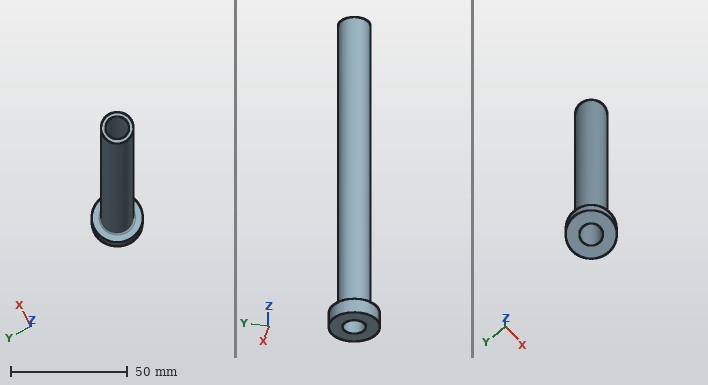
import cadquery as cq

total_height = 157.0
head_diameter = 22.0
head_height = 7.0
tube_diameter = 14.0
bore_diameter = 10.0
neck_fillet = 0.8

head_radius = head_diameter / 2
tube_radius = tube_diameter / 2
bore_radius = bore_diameter / 2


def sleeve_section():
    """Half section in the XZ plane, with a concave fillet where tube meets head."""
    return (
        cq.Workplane("XZ")
        .moveTo(bore_radius, 0)
        .lineTo(head_radius, 0)
        .lineTo(head_radius, head_height)
        .lineTo(tube_radius + neck_fillet, head_height)
        .radiusArc((tube_radius, head_height + neck_fillet), neck_fillet)
        .lineTo(tube_radius, total_height)
        .lineTo(bore_radius, total_height)
        .close()
    )


result = sleeve_section().revolve(360, (0, 0, 0), (0, 1, 0))